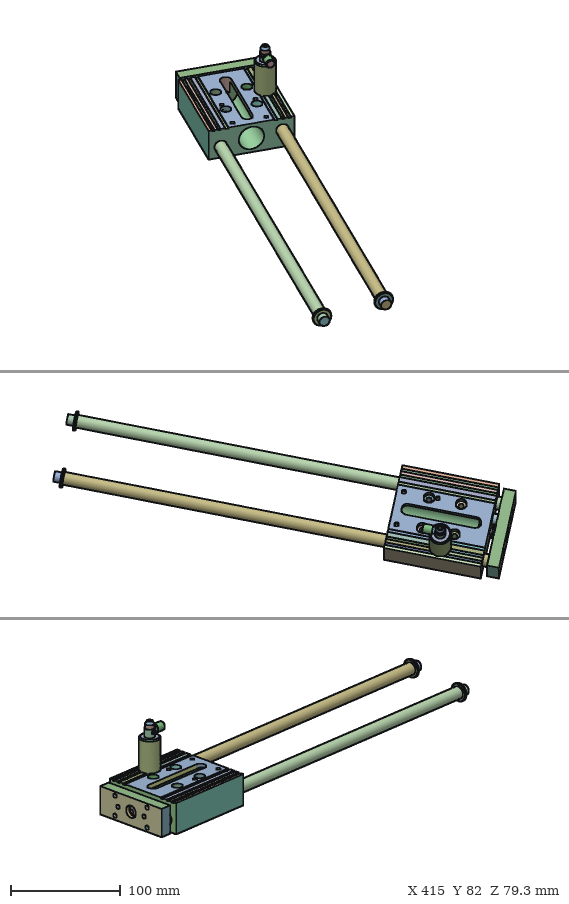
import cadquery as cq

total_length = 415.0
body_width = 82.0
body_height = 31.0
total_height = 79.3
mid_height = body_height / 2

plate_thickness = 11.0
plate_gap = 5.0
body_start = plate_thickness + plate_gap
body_length = 90.0
body_end = body_start + body_length

groove_depth = 1.05
grooves = [(22.0, 3.0), (29.5, 2.5), (35.3, 2.5)]

slot_start = 24.5
slot_length = 74.0
slot_width = 10.8
bore_start = 27.5
bore_diameter = 24.0

mount_spacing = 30.0
mount_first_x = 46.0
mount_diameter = 5.0
mount_head_diameter = 10.0
mount_head_depth = 6.0
locating_diameter = 4.0
locating_depth = 4.0
locating_offset_y = 16.0
locating_xs = [68.0, 99.5]

lock_x = 56.5
lock_y = 29.0
lock_diameter = 20.0
lock_top = 64.0
lock_chamfer = 1.2

neck_diameter = 10.0
neck_top = 72.2
cap_diameter = 8.7
cap_taper = 1.5
cap_taper_height = 3.0
cap_socket_diameter = 3.25
cap_socket_depth = 1.5
port_height = 69.5
port_neck_diameter = 6.5
port_diameter = 8.7
port_start = 7.0
port_end = 16.5
port_chamfer = 1.0
vent_diameter = 4.0
vent_depth = 2.0

plate_width = 76.5
plate_height = 28.2
plate_hole_diameter = 4.03
plate_hole_depth = 4.0
plate_hole_offset_y = 20.0
plate_hole_offset_z = 10.0
plate_pin_offset_y = 16.0

rod_diameter = 12.0
rod_offset_y = 29.5
rod_offset_z = 3.1
flange_diameter = 18.0
flange_thickness = 2.5
flange_chamfer = 0.62
stub_diameter = 10.0
stub_length = 6.5
flange_end = total_length - stub_length

piston_diameter = 10.0
piston_y = -12.5
screw_diameter = 5.5
nut_diameter = 12.0
nut_thickness = 2.5
recess_diameter = 12.0
recess_depth = 4.0
tip_base_diameter = 10.0
tip_diameter = 4.0
tip_length = 3.5


def rod_x(diameter, x_start, x_end, y, z):
    """Cylinder along X between two X positions."""
    start = cq.Vector(x_start, y, z)
    return cq.Workplane(cq.Solid.makeCylinder(diameter / 2, x_end - x_start, start, cq.Vector(1, 0, 0)))


def rod_z(diameter, z_start, z_end, x, y):
    """Cylinder along Z between two heights."""
    return cq.Workplane(cq.Solid.makeCylinder(diameter / 2, z_end - z_start, cq.Vector(x, y, z_start)))


def block(x_start, length, width, z_start, height, y=0):
    """Box that starts at an X position and a height, centred on y."""
    return (
        cq.Workplane()
        .box(length, width, height, centered=(False, True, False))
        .translate((x_start, y, z_start))
    )


def housing_block():
    """Plain block with grooves along both sides of its top."""
    body = block(body_start, body_length, body_width, 0, body_height)
    groove_floor = body_height - groove_depth
    for side in (-1, 1):
        for inner, width in grooves:
            middle = side * (inner + width / 2)
            body = body.cut(block(body_start, body_length, width, groove_floor, groove_depth, middle))
    return body


def slot_and_bore():
    """Round-ended slot above a bore that opens at the +X end."""
    slot = (
        cq.Workplane("XY", origin=(slot_start + slot_length / 2, 0, mid_height))
        .slot2D(slot_length, slot_width)
        .extrude(body_height - mid_height)
    )
    return slot.union(rod_x(bore_diameter, bore_start, body_end, 0, mid_height))


def mounting_holes():
    """Four counterbored through holes and four blind locating holes."""
    holes = cq.Workplane()
    for x in (mount_first_x, mount_first_x + mount_spacing):
        for y in (-mount_spacing / 2, mount_spacing / 2):
            holes = holes.add(rod_z(mount_diameter, 0, body_height, x, y))
            holes = holes.add(rod_z(mount_head_diameter, body_height - mount_head_depth, body_height, x, y))
    for x in locating_xs:
        for y in (-locating_offset_y, locating_offset_y):
            holes = holes.add(rod_z(locating_diameter, body_height - locating_depth, body_height, x, y))
    return holes.combine()


def locking_cylinder():
    """Upright cylinder carrying an elbow fitting with a port toward +X."""
    barrel = rod_z(lock_diameter, mid_height, lock_top, lock_x, lock_y).faces(">Z").chamfer(lock_chamfer)
    neck = rod_z(neck_diameter, lock_top, neck_top, lock_x, lock_y)
    cap = rod_z(cap_diameter, neck_top, total_height, lock_x, lock_y)
    cap = cap.faces(">Z").chamfer(cap_taper_height, cap_taper)
    cap = cap.cut(rod_z(cap_socket_diameter, total_height - cap_socket_depth, total_height, lock_x, lock_y))
    port_neck = rod_x(port_neck_diameter, lock_x, lock_x + port_start, lock_y, port_height)
    port = rod_x(port_diameter, lock_x + port_start, lock_x + port_end, lock_y, port_height)
    port = port.faces(">X").chamfer(port_chamfer)
    neck_side = cq.Vector(lock_x, lock_y - neck_diameter / 2, port_height)
    vent = cq.Solid.makeCylinder(vent_diameter / 2, vent_depth, neck_side, cq.Vector(0, 1, 0))
    return barrel.union(neck).union(cap).union(port_neck).union(port).cut(cq.Workplane(vent))


def rod_places():
    """Y and Z of each guide rod axis."""
    return [(side * rod_offset_y, mid_height + side * rod_offset_z) for side in (-1, 1)]


def make_housing():
    """Fixed body: block, locking cylinder and clear passages for the guide rods."""
    housing = housing_block().cut(slot_and_bore()).cut(mounting_holes()).union(locking_cylinder())
    for y, z in rod_places():
        housing = housing.cut(rod_x(rod_diameter, body_start, body_end, y, z))
    return housing


def end_plate():
    """Plate with two holes on its middle line and four near its corners."""
    plate = block(0, plate_thickness, plate_width, mid_height - plate_height / 2, plate_height)
    corner_ys = (-plate_hole_offset_y, plate_hole_offset_y)
    corner_zs = (-plate_hole_offset_z, plate_hole_offset_z)
    places = [(side * plate_pin_offset_y, 0) for side in (-1, 1)]
    places += [(y, z) for y in corner_ys for z in corner_zs]
    for y, z in places:
        plate = plate.cut(rod_x(plate_hole_diameter, 0, plate_hole_depth, y, mid_height + z))
    return plate


def stop_screw():
    """Cone tip in the plate recess, nut behind the plate, shank to the housing face."""
    tip = cq.Workplane(
        cq.Solid.makeCone(
            tip_diameter / 2,
            tip_base_diameter / 2,
            tip_length,
            cq.Vector(recess_depth - tip_length, 0, mid_height),
            cq.Vector(1, 0, 0),
        )
    )
    nut = rod_x(nut_diameter, plate_thickness, plate_thickness + nut_thickness, 0, mid_height)
    shank = rod_x(screw_diameter, plate_thickness, body_start, 0, mid_height)
    return [tip, nut, shank]


def make_slide():
    """Moving body: end plate, stop screw, piston rod and guide rods with end flanges."""
    slide = end_plate().cut(rod_x(recess_diameter, 0, recess_depth, 0, mid_height))
    for piece in stop_screw():
        slide = slide.union(piece)
    slide = slide.union(rod_x(piston_diameter, plate_thickness, body_start, piston_y, mid_height))
    for y, z in rod_places():
        slide = slide.union(rod_x(rod_diameter, plate_thickness, flange_end, y, z))
        flange = rod_x(flange_diameter, flange_end - flange_thickness, flange_end, y, z)
        slide = slide.union(flange.edges().chamfer(flange_chamfer))
        slide = slide.union(rod_x(stub_diameter, flange_end, total_length, y, z))
    return slide


housing = make_housing()
slide = make_slide()
result = cq.Compound.makeCompound([housing.val(), slide.val()])